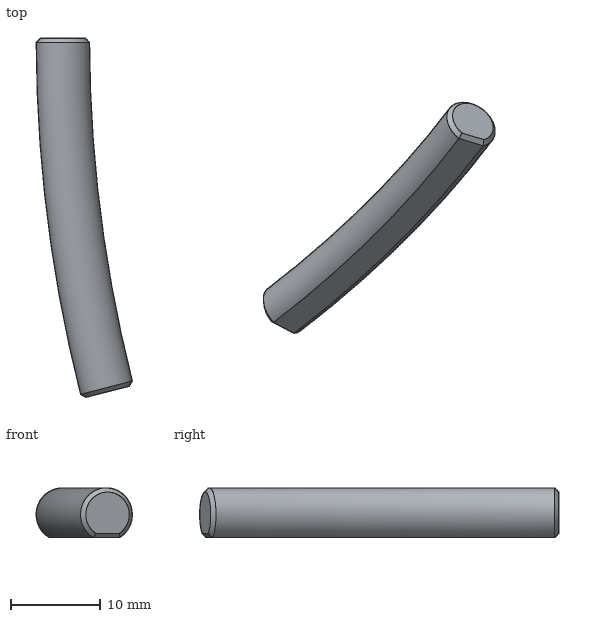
import cadquery as cq
import math

overall_length = 40.35
rod_diameter = 6.0
rod_height = 5.6
bend_radius = 159.7
end_chamfer = 0.5

rod_radius = rod_diameter / 2
flat_drop = rod_height - rod_radius
flat_half_width = math.sqrt(rod_radius**2 - flat_drop**2)

end_face_outer_radius = bend_radius + rod_radius - end_chamfer
bend_angle = math.degrees(math.asin(overall_length / end_face_outer_radius))


def rod_section():
    """Round section with a flat underside, centred on the origin in XZ."""
    return (
        cq.Workplane("XZ")
        .moveTo(-flat_half_width, -flat_drop)
        .threePointArc((0, rod_radius), (flat_half_width, -flat_drop))
        .close()
    )


def bent_rod():
    """Sweep the section from the straight +Y end about a vertical axis on the +X side."""
    axis_start = (bend_radius, 0)
    axis_end = (bend_radius, 1)
    return rod_section().revolve(bend_angle, axis_start, axis_end)


rod = bent_rod()
result = rod.faces("<Y or >Y").edges().chamfer(end_chamfer)